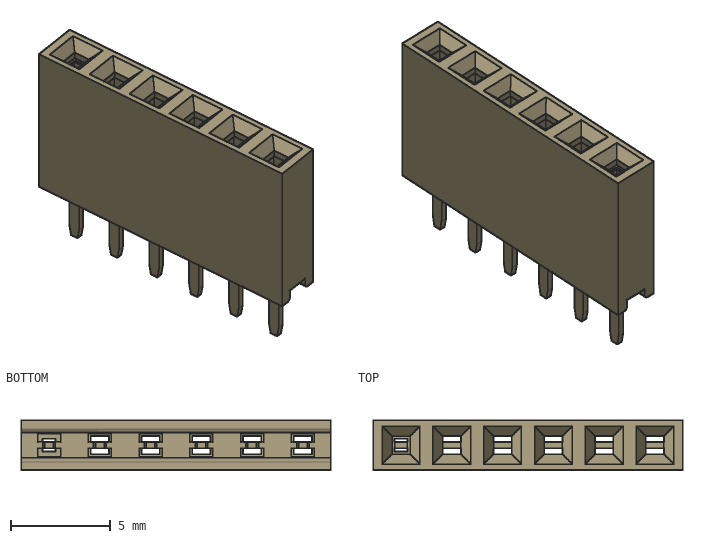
import cadquery as cq

length = 15.49
width = 2.5
total_height = 11.7
body_height = 8.5

contact_count = 6
pitch = 2.54
contact_xs = [(i - (contact_count - 1) / 2) * pitch for i in range(contact_count)]

groove_width = 1.24
groove_depth = 0.62
groove_edge_radius = 0.2

sheet_thickness = 0.12
funnel_width = 1.89
throat_width = 0.9
throat_depth = 0.35
cavity_width = throat_width + 2 * sheet_thickness
funnel_depth = (funnel_width - throat_width) / 2
throat_top = body_height - funnel_depth
cavity_top = throat_top - throat_depth

ring_opening = 0.64

pin_width = 0.64
pin_thickness = 0.33
pin_length = total_height - body_height
tip_width = 0.42
tip_length = 0.62
web_height = pin_width


def make_block(x, size_x, size_y, bottom, top):
    """Rectangular block centred on (x, 0) between two heights."""
    return (
        cq.Workplane("XY", origin=(x, 0, bottom))
        .rect(size_x, size_y)
        .extrude(top - bottom)
    )


def make_housing():
    """Plain block with a groove along the whole underside."""
    body = make_block(0, length, width, 0, body_height)
    groove = make_block(0, length, groove_width, 0, groove_depth)
    lip_width = (width - groove_width) / 2
    groove_edges = cq.selectors.BoxSelector(
        (-length, -width / 2 + lip_width / 2, -groove_depth / 2),
        (length, width / 2 - lip_width / 2, groove_depth / 2),
    )
    return body.cut(groove).edges("|X").edges(groove_edges).fillet(groove_edge_radius)


def make_socket(x):
    """Space removed for one contact, from the top face down to the groove."""
    funnel = (
        cq.Workplane("XY", origin=(x, 0, throat_top))
        .rect(throat_width, throat_width)
        .workplane(offset=funnel_depth)
        .rect(funnel_width, funnel_width)
        .loft(ruled=True)
    )
    throat = make_block(x, throat_width, throat_width, cavity_top, throat_top)
    cavity = make_block(x, cavity_width, cavity_width, groove_depth, cavity_top)
    return funnel.union(throat).union(cavity)


def make_ring(x):
    """Thin square ring fixed under the throat."""
    ring_bottom = cavity_top - sheet_thickness
    plate = make_block(x, cavity_width, cavity_width, ring_bottom, cavity_top)
    opening = make_block(x, ring_opening, ring_opening, ring_bottom, cavity_top)
    return plate.cut(opening)


def make_pin(x):
    """Flat pin with a tapered tip and a web joining it to the cavity walls."""
    taper_start = tip_length - pin_length
    shank = (
        cq.Workplane("XZ", origin=(x, 0, 0))
        .moveTo(-pin_width / 2, groove_depth)
        .lineTo(-pin_width / 2, taper_start)
        .lineTo(-tip_width / 2, -pin_length)
        .lineTo(tip_width / 2, -pin_length)
        .lineTo(pin_width / 2, taper_start)
        .lineTo(pin_width / 2, groove_depth)
        .close()
        .extrude(pin_thickness / 2, both=True)
    )
    web = make_block(x, cavity_width, pin_thickness, groove_depth, groove_depth + web_height)
    return shank.union(web)


result = make_housing()
for x in contact_xs:
    result = result.cut(make_socket(x)).union(make_pin(x))
result = result.union(make_ring(contact_xs[0]))